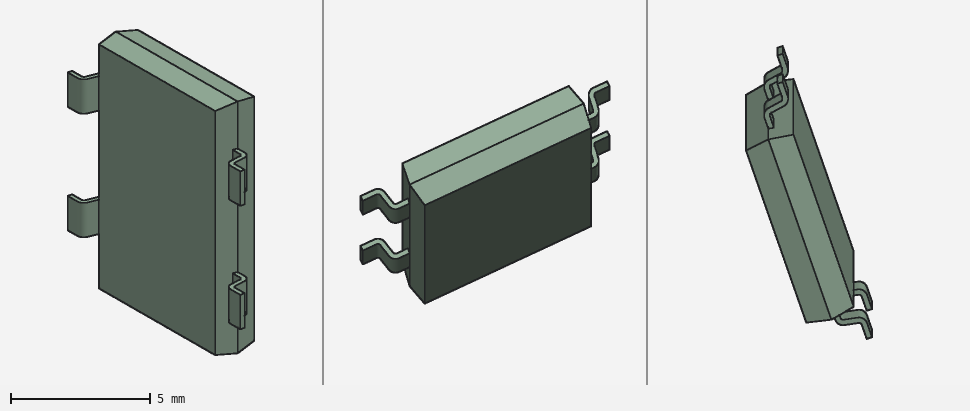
import cadquery as cq
import math

housing_width = 7.0
housing_height = 10.2
housing_depth = 1.81
draft_angle = 10.0
half_depth = housing_depth / 2

lead_span = 9.9
lead_width = 1.4
lead_pitch = 5.0
lead_thickness = 0.2
foot_standoff = 0.14
foot_length = 0.55
inner_bend_radius = 0.1
leg_lean = 10.0
outer_bend_radius = inner_bend_radius + lead_thickness


def make_housing():
    """Molded block that tapers towards its front and its back."""
    outline = cq.Workplane("XZ").rect(housing_width, housing_height)
    front_half = outline.extrude(half_depth, taper=draft_angle)
    return front_half.union(front_half.mirror("XZ")).solids()


def polar_point(center, radius, angle):
    """Point on a circle, with the angle in degrees from +X."""
    turn = math.radians(angle)
    return (center[0] + radius * math.cos(turn), center[1] + radius * math.sin(turn))


def make_lead(center_z):
    """Lead on the +X side: shelf at the housing, leaning leg, and foot."""
    tip_x = lead_span / 2
    foot_front_y = -half_depth - foot_standoff
    foot_back_y = foot_front_y + lead_thickness
    shelf_front_y = -lead_thickness

    shelf_back_end = (housing_width / 2, 0)
    shelf_front_end = (
        housing_width / 2 - lead_thickness * math.tan(math.radians(draft_angle)),
        shelf_front_y,
    )

    lean = math.radians(leg_lean)
    foot_center = (tip_x - foot_length, foot_back_y + inner_bend_radius)
    shelf_center_y = shelf_front_y - inner_bend_radius
    center_rise = shelf_center_y - foot_center[1]
    center_run = (inner_bend_radius + outer_bend_radius + center_rise * math.sin(lean)) / math.cos(lean)
    shelf_center = (foot_center[0] - center_run, shelf_center_y)

    def shelf_bend(radius, angle):
        return polar_point(shelf_center, radius, angle)

    def foot_bend(radius, angle):
        return polar_point(foot_center, radius, angle)

    shelf_flat, shelf_leg = 90, leg_lean
    shelf_middle = (shelf_flat + shelf_leg) / 2
    foot_flat, foot_leg = 270, 180 + leg_lean
    foot_middle = (foot_flat + foot_leg) / 2

    outline = (
        cq.Workplane("XY", origin=(0, 0, center_z - lead_width / 2))
        .moveTo(*shelf_back_end)
        .lineTo(*shelf_bend(outer_bend_radius, shelf_flat))
        .threePointArc(shelf_bend(outer_bend_radius, shelf_middle), shelf_bend(outer_bend_radius, shelf_leg))
        .lineTo(*foot_bend(inner_bend_radius, foot_leg))
        .threePointArc(foot_bend(inner_bend_radius, foot_middle), foot_bend(inner_bend_radius, foot_flat))
        .lineTo(tip_x, foot_back_y)
        .lineTo(tip_x, foot_front_y)
        .lineTo(*foot_bend(outer_bend_radius, foot_flat))
        .threePointArc(foot_bend(outer_bend_radius, foot_middle), foot_bend(outer_bend_radius, foot_leg))
        .lineTo(*shelf_bend(inner_bend_radius, shelf_leg))
        .threePointArc(shelf_bend(inner_bend_radius, shelf_middle), shelf_bend(inner_bend_radius, shelf_flat))
        .lineTo(*shelf_front_end)
        .close()
    )
    return outline.extrude(lead_width)


housing = make_housing()

leads = []
for lead_z in (-lead_pitch / 2, lead_pitch / 2):
    right_lead = make_lead(lead_z)
    left_lead = right_lead.mirror("YZ")
    leads += [right_lead.val(), left_lead.val()]

result = cq.Compound.makeCompound([housing.val(), *leads])